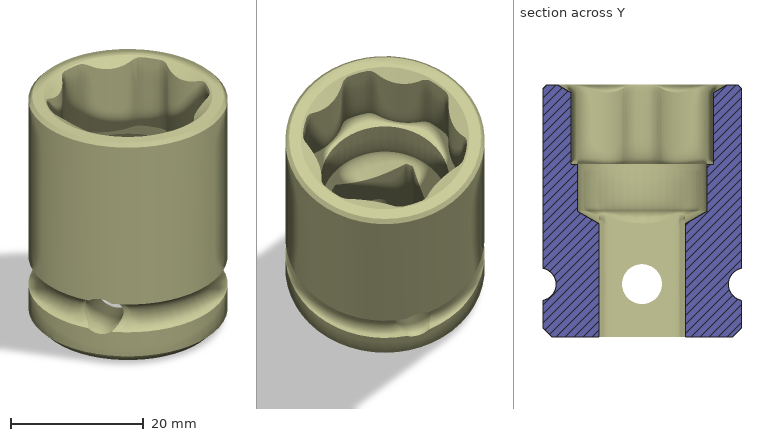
import cadquery as cq
import math

HEIGHT = 38
OUTER_RADIUS = 15.0
TOP_CHAMFER = 0.57
BOTTOM_CHAMFER = 1.45

GROOVE_Z = 7.98
GROOVE_HALF_WIDTH = 2.4
GROOVE_DEPTH = 2.0
PIN_HOLE_RADIUS = 3.0

LOBE_COUNT = 6
LOBE_RADIUS = 12.4
FLANK_INNER_RADIUS = 10.68
FLANK_ARC_RADIUS = 8.75
LOBE_CORNER_FILLET = 1.9
SOCKET_DEPTH = 11.97
MOUTH_RADIUS = 12.7
MOUTH_SLOPE = 30

BORE_RADIUS = 9.73
BORE_BOTTOM_Z = HEIGHT / 2
BORE_CONE_SLOPE = 30

SQUARE_SIDE = 12.92
SQUARE_CORNER_CHAMFER = 0.8


def make_body():
    """Turned outside shape with both end chamfers and the arc groove."""
    return (
        cq.Workplane("XZ")
        .lineTo(OUTER_RADIUS - BOTTOM_CHAMFER, 0)
        .lineTo(OUTER_RADIUS, BOTTOM_CHAMFER)
        .lineTo(OUTER_RADIUS, GROOVE_Z - GROOVE_HALF_WIDTH)
        .threePointArc(
            (OUTER_RADIUS - GROOVE_DEPTH, GROOVE_Z),
            (OUTER_RADIUS, GROOVE_Z + GROOVE_HALF_WIDTH),
        )
        .lineTo(OUTER_RADIUS, HEIGHT - TOP_CHAMFER)
        .lineTo(OUTER_RADIUS - TOP_CHAMFER, HEIGHT)
        .lineTo(0, HEIGHT)
        .close()
        .revolve(360, (0, 0), (0, 1))
    )


def make_lobed_socket():
    """Round pocket narrowed by six inward-bulging flanks, with rounded corners."""
    centre_distance = FLANK_INNER_RADIUS + FLANK_ARC_RADIUS
    floor = cq.Workplane("XY").workplane(offset=HEIGHT - SOCKET_DEPTH)
    flanks = (
        floor.polarArray(centre_distance, 0, 360, LOBE_COUNT)
        .circle(FLANK_ARC_RADIUS)
        .extrude(SOCKET_DEPTH, combine=False)
    )
    pocket = floor.circle(LOBE_RADIUS).extrude(SOCKET_DEPTH).cut(flanks)

    corner_angle = math.acos(
        (centre_distance**2 + LOBE_RADIUS**2 - FLANK_ARC_RADIUS**2)
        / (2 * centre_distance * LOBE_RADIUS)
    )
    middle_z = HEIGHT - SOCKET_DEPTH / 2
    for i in range(LOBE_COUNT):
        for side in (-1, 1):
            angle = 2 * math.pi * i / LOBE_COUNT + side * corner_angle
            corner = (LOBE_RADIUS * math.cos(angle), LOBE_RADIUS * math.sin(angle), middle_z)
            pocket = pocket.edges(cq.selectors.NearestToPointSelector(corner)).fillet(LOBE_CORNER_FILLET)
    return pocket


def make_mouth():
    """Conical lead-in that opens the socket at the top face."""
    cone_height = MOUTH_RADIUS * math.tan(math.radians(MOUTH_SLOPE))
    return cq.Workplane(cq.Solid.makeCone(0, MOUTH_RADIUS, cone_height, pnt=(0, 0, HEIGHT - cone_height)))


def make_bore():
    """Round bore ending in a drill-point cone."""
    tip_z = BORE_BOTTOM_Z - BORE_RADIUS * math.tan(math.radians(BORE_CONE_SLOPE))
    return (
        cq.Workplane("XZ")
        .moveTo(0, tip_z)
        .lineTo(BORE_RADIUS, BORE_BOTTOM_Z)
        .lineTo(BORE_RADIUS, HEIGHT - SOCKET_DEPTH)
        .lineTo(0, HEIGHT - SOCKET_DEPTH)
        .close()
        .revolve(360, (0, 0), (0, 1))
    )


def make_square_drive():
    """Square hole with chamfered corners, from the bottom face into the bore."""
    return (
        cq.Workplane("XY")
        .rect(SQUARE_SIDE, SQUARE_SIDE)
        .extrude(BORE_BOTTOM_Z)
        .edges("|Z")
        .chamfer(SQUARE_CORNER_CHAMFER)
    )


def make_pin_hole():
    """Cross hole along Y, through both walls."""
    return (
        cq.Workplane("XZ")
        .center(0, GROOVE_Z)
        .circle(PIN_HOLE_RADIUS)
        .extrude(OUTER_RADIUS, both=True)
    )


result = (
    make_body()
    .cut(make_lobed_socket())
    .cut(make_mouth())
    .cut(make_bore())
    .cut(make_square_drive())
    .cut(make_pin_hole())
)